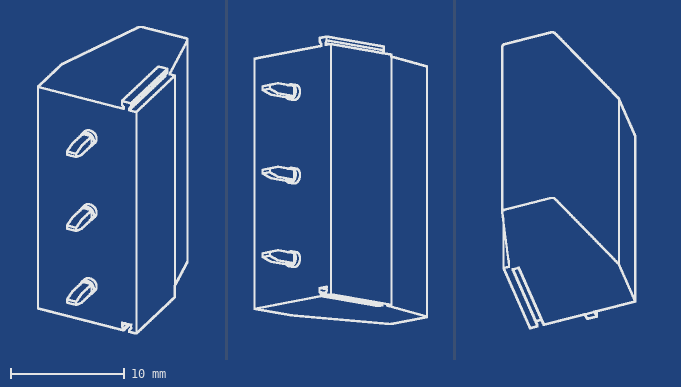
import cadquery as cq

POLE_COUNT = 3
PITCH = 7.5
BODY_HEIGHT = 22.5
BODY_WIDTH = 9.8
BODY_DEPTH = 13.8

LEFT_WALL_DEPTH = 4.6
SHOULDER_DEPTH = 7.4
SHOULDER_X = 9.27
CREST_LEFT_X = 3.0
CREST_RIGHT_X = 7.8
CREST_RADIUS = 0.35

RAIL_LENGTH = 7.0
RAIL_HEIGHT = 0.75
RAIL_HEAD_WIDTH = 0.9
RAIL_HEAD_HEIGHT = 0.35
RAIL_NECK_WIDTH = 0.55
RAIL_NECK_HEIGHT = 0.16
RAIL_CENTER_X = SHOULDER_X - RAIL_HEAD_WIDTH / 2

PIN_X = 5.18
PIN_LENGTH = 3.49
COLLAR_DIAMETER = 1.35
COLLAR_LENGTH = 0.5
SHANK_SIZE = 0.9
TIP_LENGTH = 1.0
TIP_THICKNESS = 0.33


def make_housing():
    """Hood-shaped prism with a stepped right side and rounded crest."""
    profile = [
        (0, 0),
        (BODY_WIDTH, 0),
        (BODY_WIDTH, SHOULDER_DEPTH),
        (SHOULDER_X, SHOULDER_DEPTH),
        (CREST_RIGHT_X, BODY_DEPTH),
        (CREST_LEFT_X, BODY_DEPTH),
        (0, LEFT_WALL_DEPTH),
    ]
    prism = cq.Workplane("XY").polyline(profile).close().extrude(BODY_HEIGHT)
    return prism.faces(">Y").edges("|Z").fillet(CREST_RADIUS)


def make_rail(base_z):
    """Dovetail bar standing on base_z and running from Y = 0 towards +Y."""
    neck = RAIL_NECK_WIDTH / 2
    head = RAIL_HEAD_WIDTH / 2
    head_start = RAIL_HEIGHT - RAIL_HEAD_HEIGHT
    section = [
        (-neck, 0),
        (-neck, RAIL_NECK_HEIGHT),
        (-head, head_start),
        (-head, RAIL_HEIGHT),
        (head, RAIL_HEIGHT),
        (head, head_start),
        (neck, RAIL_NECK_HEIGHT),
        (neck, 0),
    ]
    bar = cq.Workplane("XZ").polyline(section).close().extrude(-RAIL_LENGTH)
    return bar.translate((RAIL_CENTER_X, 0, base_z))


def make_pin(center_z):
    """Solder pin leaving the base face at height center_z."""
    collar = cq.Workplane("XZ").circle(COLLAR_DIAMETER / 2).extrude(COLLAR_LENGTH)
    half_shank = SHANK_SIZE / 2
    half_tip = TIP_THICKNESS / 2
    taper_start = TIP_LENGTH - PIN_LENGTH
    side_outline = [
        (0, -half_shank),
        (taper_start, -half_shank),
        (-PIN_LENGTH, -half_tip),
        (-PIN_LENGTH, half_tip),
        (taper_start, half_shank),
        (0, half_shank),
    ]
    shank = cq.Workplane("YZ").polyline(side_outline).close().extrude(half_shank, both=True)
    return collar.union(shank).translate((PIN_X, 0, center_z))


result = make_housing().cut(make_rail(0)).union(make_rail(BODY_HEIGHT))
for pole in range(POLE_COUNT):
    center_z = BODY_HEIGHT / 2 + (pole - (POLE_COUNT - 1) / 2) * PITCH
    result = result.union(make_pin(center_z))